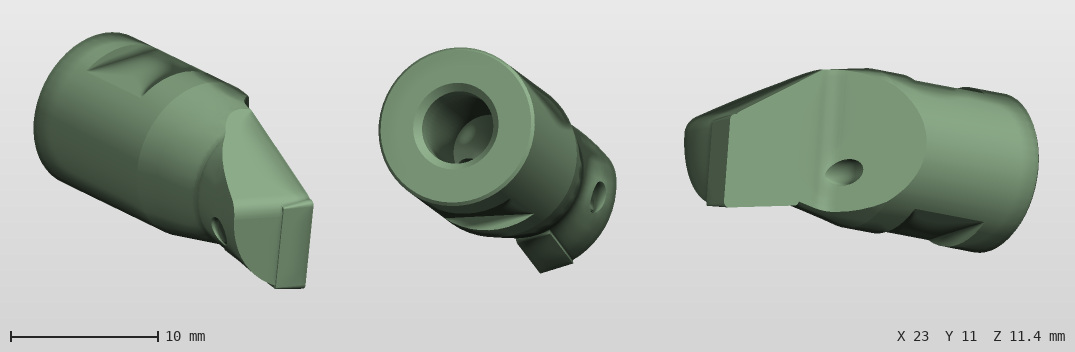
import cadquery as cq
import math


total_length = 23.0
shank_diameter = 11.0
shank_length = 11.5
rim_chamfer = 0.2
flat_start = 3.0
flat_end = 9.0
flat_height = 4.5

neck_angle = 10.0
waist_blend_start = 16.63
waist_start = 16.77
waist_end = 16.97

bore_diameter = 5.01
bore_mouth_diameter = 6.0
bore_depth = 8.97
drill_point_angle = 118.0
coolant_diameter = 1.75
coolant_x = 8.75
coolant_y = 1.4
coolant_z = -1.01
coolant_drop_angle = 15.0

tip_z = -5.89
roll_angle = 7.0
tip_angle = 80.0
clearance_angle = 7.0
insert_edge = 6.45
nose_radius = 0.4
insert_thickness = 2.37

screw_x = 19.73
screw_rise = 3.89
screw_diameter = 2.05
screw_length = 4.83
screw_chamfer = 0.23

relief_corner_x = 14.55
relief_angle = 45.0
relief_fillet = 2.0
end_setback = 0.1
slope_x = 16.88
slope_z = 3.9
slope_angle = 30.0
slope_roll = 4.5
slope_fillet = 1.5

reach = 2 * shank_diameter


def sin(degrees):
    return math.sin(math.radians(degrees))


def cos(degrees):
    return math.cos(math.radians(degrees))


def tan(degrees):
    return math.tan(math.radians(degrees))


along = cq.Vector(1, 0, 0)
tip_origin = cq.Vector(0, 0, tip_z)
face_normal = cq.Vector(0, -cos(roll_angle), sin(roll_angle))
face_plane = cq.Plane(tip_origin, along, face_normal)

edge_plane = cq.Plane(tip_origin, along, along.cross(face_normal))


def revolve_about_axis(profile):
    return profile.close().revolve(360, (0, 0, 0), (1, 0, 0))


def screw_cylinder(depth):
    """Cylinder on the screw axis, from the cutting face to the given depth."""
    return cq.Workplane(face_plane).center(screw_x, screw_rise).circle(screw_diameter / 2).extrude(depth)


def insert_block():
    """Insert without its screw hole; it tapers inward behind the cutting face."""
    edge_tilt = 90 - tip_angle
    side_run = -insert_edge * cos(edge_tilt)
    side_rise = insert_edge * sin(edge_tilt)
    tip_rise = nose_radius * (1 - 1 / tan(tip_angle / 2))
    tip = (total_length, tip_rise)
    rhombus = [
        tip,
        (total_length, tip_rise + insert_edge),
        (total_length + side_run, tip_rise + side_rise + insert_edge),
        (total_length + side_run, tip_rise + side_rise),
        tip,
    ]
    outline = cq.Sketch().polygon(rhombus).vertices().fillet(nose_radius)
    return cq.Workplane(face_plane).placeSketch(outline).extrude(insert_thickness, taper=clearance_angle)


def make_insert():
    return insert_block().cut(screw_cylinder(insert_thickness)).solids()


def make_screw():
    inner_end = cq.selectors.DirectionMinMaxSelector(face_normal)
    return screw_cylinder(screw_length).faces(inner_end).chamfer(screw_chamfer).solids()


def holder_blank():
    """Turned body: shank, neck, waist and widening end."""
    shank_radius = shank_diameter / 2
    blend_radius = shank_radius - (waist_blend_start - shank_length) * tan(neck_angle)
    waist_radius = blend_radius - (waist_start - waist_blend_start) * tan(neck_angle / 2)
    end_radius = waist_radius + (total_length - waist_end) * tan(neck_angle)
    profile = (
        cq.Workplane("XZ")
        .lineTo(0, shank_radius - rim_chamfer)
        .lineTo(rim_chamfer, shank_radius)
        .lineTo(shank_length, shank_radius)
        .lineTo(waist_blend_start, blend_radius)
        .tangentArcPoint((waist_start, waist_radius), relative=False)
        .lineTo(waist_end, waist_radius)
        .lineTo(total_length, end_radius)
        .lineTo(total_length, 0)
    )
    return revolve_about_axis(profile)


def wrench_flat(side):
    """Slab above (side = 1) or below (side = -1) one of the two flats."""
    slab = cq.Workplane().box(flat_end - flat_start, reach, reach, centered=(False, True, True))
    return slab.translate((flat_start, 0, side * (flat_height + reach / 2)))


def bore():
    radius = bore_diameter / 2
    mouth_radius = bore_mouth_diameter / 2
    point_depth = bore_depth + radius / tan(drill_point_angle / 2)
    profile = (
        cq.Workplane("XZ")
        .lineTo(0, mouth_radius)
        .lineTo(mouth_radius - radius, radius)
        .lineTo(bore_depth, radius)
        .lineTo(point_depth, 0)
    )
    return revolve_about_axis(profile)


def coolant_hole():
    """Hole from the bore's cone, dropping toward the insert and leaving through the relief."""
    direction = cq.Vector(cos(coolant_drop_angle), 0, -sin(coolant_drop_angle))
    start = cq.Plane((coolant_x, coolant_y, coolant_z), (0, 1, 0), direction)
    return cq.Workplane(start).circle(coolant_diameter / 2).extrude(total_length - coolant_x)


def slope_cut():
    """Everything above the sloped top face."""
    normal = cq.Vector(
        sin(slope_angle),
        cos(slope_angle) * sin(slope_roll),
        cos(slope_angle) * cos(slope_roll),
    )
    plane = cq.Plane((slope_x, 0, slope_z), (0, cos(slope_roll), -sin(slope_roll)), normal)
    return cq.Workplane(plane).rect(reach, reach).extrude(reach)


def end_envelope():
    """Block bounded by the end face and the sloped top face, with the edge between them rounded."""
    end_x = total_length - end_setback
    end_lean = reach * tan(clearance_angle)
    block = (
        cq.Workplane(edge_plane)
        .moveTo(-reach, -reach)
        .lineTo(end_x + end_lean, -reach)
        .lineTo(end_x - end_lean, reach)
        .lineTo(-reach, reach)
        .close()
        .extrude(reach, both=True)
        .cut(slope_cut())
    )
    slope_edge = cq.selectors.NearestToPointSelector((end_x, 0, 0))
    return block.edges(slope_edge).fillet(slope_fillet)


def relief_cut():
    """Chip relief level with the cutting face, rising to the shank through a fillet and a slant."""
    tangent_length = relief_fillet * tan(relief_angle / 2)
    fillet_end_x = relief_corner_x + tangent_length
    slant_end = (
        relief_corner_x - tangent_length * cos(relief_angle),
        -tangent_length * sin(relief_angle),
    )
    fillet_middle = (
        fillet_end_x - relief_fillet * sin(relief_angle / 2),
        -relief_fillet * (1 - cos(relief_angle / 2)),
    )
    return (
        cq.Workplane(edge_plane)
        .moveTo(relief_corner_x - reach / tan(relief_angle), -reach)
        .lineTo(*slant_end)
        .threePointArc(fillet_middle, (fillet_end_x, 0))
        .lineTo(relief_corner_x + reach, 0)
        .lineTo(relief_corner_x + reach, -reach)
        .close()
        .extrude(reach, both=True)
    )


def make_holder():
    body = holder_blank().intersect(end_envelope()).cut(relief_cut())
    for side in (1, -1):
        body = body.cut(wrench_flat(side))
    body = body.cut(bore()).cut(coolant_hole())
    return body.cut(insert_block()).cut(screw_cylinder(reach)).solids()


holder = make_holder()
insert = make_insert()
screw = make_screw()
result = cq.Compound.makeCompound([holder.val(), insert.val(), screw.val()])